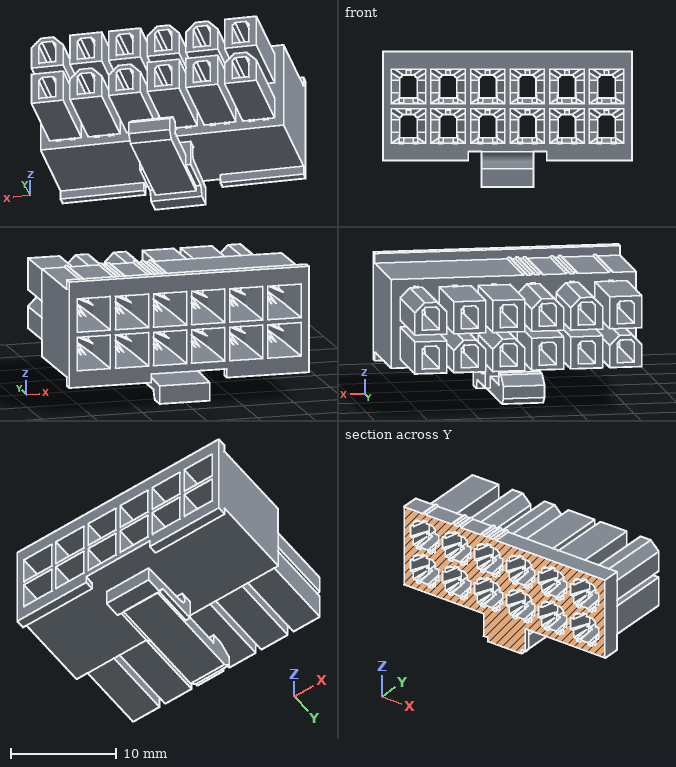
import cadquery as cq


WIDTH = 23.7
LENGTH = 17.6
FLANGE_HEIGHT = 10.38
FLANGE_DEPTH = 0.95
BODY_LENGTH = 9.65
BODY_TOP = 4.26
BODY_BOTTOM = -4.34
NOTCH_WIDTH = 7.46

PITCH = 3.77
COLUMNS = 6
ROW_OFFSET = -0.02
COLUMN_X = [(i - (COLUMNS - 1) / 2) * PITCH for i in range(COLUMNS)]
ROW_Z = [ROW_OFFSET + PITCH / 2, ROW_OFFSET - PITCH / 2]

TOWER_SIZE = 3.1
TOWER_CHAMFER = 0.95
TOWER_KEYS = ["SDDSSD", "DSSDDS"]

MOUTH = 3.27
PASSAGE_WIDTH = 1.63
PASSAGE_HEIGHT = 2.18
PASSAGE_CHAMFER = 0.3
FUNNEL_LENGTH = 3.5
FUNNEL_START = BODY_LENGTH - FUNNEL_LENGTH
WEB_LENGTH = 4.43
SIDE_RELIEF_HEIGHT = 1.2
SIDE_RELIEF_LENGTH = 1.87
KEYWAY_WIDTH = 0.43
FLOOR_KEYWAY_X = 0.69
FLOOR_KEYWAY_HEIGHT = 0.78

RIB_RADIUS = 0.17
RIB_SPACING = 0.75
NUMBERED_COLUMNS = 3

LEVER_WIDTH = 4.95
ARM_WIDTH = 3.98
LEVER_BACK_Y = 8.27
LEVER_FRONT_Y = 1.56
LEVER_UNDERSIDE = -6.8
LEVER_PAD_TOP = -5.95
LEVER_PAD_BOTTOM = -7.72
PAD_STEP_Y = 3.84
PAD_BACK_Y = 3.36
SLOT_TOP_Y = 7.01
SLOT_END_Y = 7.45
SLOT_END_Z = -4.95
SLOT_FLOOR_Y = 6.78
ARM_TOP = -5.69
ARM_BOTTOM = -7.23
HOOK_FRONT_Y = 12.8
HOOK_PEAK_Y = 13.9
HOOK_TIP_Y = 15.3
HOOK_HEEL_Y = 14.52
HOOK_TOP = -4.5
HOOK_TIP_TOP = -5.38
HOOK_TIP_BOTTOM = -6.56


def box(x_range, y_range, z_range):
    """Axis-aligned block between the given limits."""
    (x0, x1), (y0, y1), (z0, z1) = x_range, y_range, z_range
    return cq.Workplane("XY").box(x1 - x0, y1 - y0, z1 - z0, centered=False).translate((x0, y0, z0))


def section(y):
    """Sketch plane at depth y with local axes X and Z; negative lengths extrude towards +Y."""
    return cq.Workplane(cq.Plane(origin=(0, y, 0), xDir=(1, 0, 0), normal=(0, -1, 0)))


def bar(width, height, chamfer, length, y):
    """Bar along +Y with its two upper edges chamfered when chamfer is above zero."""
    solid = section(y).rect(width, height).extrude(-length)
    if chamfer > 0:
        solid = solid.edges("|Y and >Z").chamfer(chamfer)
    return solid


def loft_back(y0, size0, y1, size1):
    """Straight-sided loft between two centred rectangles (width, height)."""
    return section(y0).rect(*size0).workplane(offset=y0 - y1).rect(*size1).loft(ruled=True)


def corner_web(side):
    """Sloped web that fills an upper funnel corner; side is -1 or +1 along X."""
    half = MOUTH / 2
    leg = (MOUTH - PASSAGE_WIDTH) / 2 + (MOUTH - PASSAGE_HEIGHT) / 2 + PASSAGE_CHAMFER
    corner = cq.Vector(side * half, BODY_LENGTH, half)
    along_x = cq.Vector(side * (half - leg), BODY_LENGTH, half)
    along_z = cq.Vector(side * half, BODY_LENGTH, half - leg)
    apex = cq.Vector(side * half, BODY_LENGTH - WEB_LENGTH, half)
    triangles = [
        (corner, along_x, along_z),
        (corner, along_x, apex),
        (corner, along_z, apex),
        (along_x, along_z, apex),
    ]
    faces = [cq.Face.makeFromWires(cq.Wire.makePolygon(list(t), close=True)) for t in triangles]
    return cq.Workplane(cq.Solid.makeSolid(cq.Shell.makeShell(faces)))


def make_cavity():
    """Cutting body of one contact cavity, centred on X = 0 and Z = 0."""
    half = MOUTH / 2
    relief_start = BODY_LENGTH - SIDE_RELIEF_LENGTH
    cavity = section(0).rect(MOUTH, MOUTH).extrude(-FUNNEL_START)
    cavity = cavity.union(
        loft_back(FUNNEL_START, (MOUTH, MOUTH), BODY_LENGTH, (PASSAGE_WIDTH, PASSAGE_HEIGHT))
    )

    cavity = cavity.union(
        box((-half, half), (FUNNEL_START, relief_start), (-SIDE_RELIEF_HEIGHT / 2, SIDE_RELIEF_HEIGHT / 2))
    )
    cavity = cavity.union(
        loft_back(
            relief_start,
            (MOUTH, SIDE_RELIEF_HEIGHT),
            BODY_LENGTH,
            (PASSAGE_WIDTH, SIDE_RELIEF_HEIGHT),
        )
    )

    for side in (-1, 1):
        cavity = cavity.cut(corner_web(side))

    keyway_depth = (FUNNEL_START, BODY_LENGTH)
    keyways = [(0, (0, half))]
    for side in (-1, 1):
        keyways.append((side * FLOOR_KEYWAY_X, (-half, FLOOR_KEYWAY_HEIGHT - half)))
    for x, z_range in keyways:
        cavity = cavity.union(box((x - KEYWAY_WIDTH / 2, x + KEYWAY_WIDTH / 2), keyway_depth, z_range))

    passage = bar(PASSAGE_WIDTH, PASSAGE_HEIGHT, PASSAGE_CHAMFER, LENGTH - BODY_LENGTH, BODY_LENGTH)
    return cavity.union(passage)


def make_housing():
    """Front flange with its latch notch, and the plain body behind it."""
    half = WIDTH / 2
    flange = section(0).rect(WIDTH, FLANGE_HEIGHT).extrude(-FLANGE_DEPTH)
    notch = box(
        (-NOTCH_WIDTH / 2, NOTCH_WIDTH / 2), (0, FLANGE_DEPTH), (-FLANGE_HEIGHT / 2, BODY_BOTTOM)
    )
    body = box((-half, half), (0, BODY_LENGTH), (BODY_BOTTOM, BODY_TOP))
    return flange.cut(notch).union(body)


def make_column_ribs():
    """Half-round ribs: one over the first column, two over the second, and so on."""
    ribs = section(FLANGE_DEPTH)
    for column in range(NUMBERED_COLUMNS):
        for i in range(column + 1):
            x = COLUMN_X[column] + (i - column / 2) * RIB_SPACING
            ribs = ribs.moveTo(x, BODY_TOP).circle(RIB_RADIUS)
    return ribs.extrude(FLANGE_DEPTH - BODY_LENGTH)


def side_profile(width):
    """YZ sketch plane from which extruding by width gives a part centred on X = 0."""
    return cq.Workplane("YZ", origin=(-width / 2, 0, 0))


def make_lever():
    """Wide press lever hanging from the body on a short post with a round-ended slot."""
    return (
        side_profile(LEVER_WIDTH)
        .moveTo(LEVER_BACK_Y, BODY_BOTTOM)
        .lineTo(SLOT_TOP_Y, BODY_BOTTOM)
        .threePointArc((SLOT_END_Y, SLOT_END_Z), (SLOT_FLOOR_Y, ARM_TOP))
        .lineTo(LEVER_FRONT_Y, LEVER_PAD_TOP)
        .lineTo(LEVER_FRONT_Y, LEVER_PAD_BOTTOM)
        .lineTo(PAD_BACK_Y, LEVER_PAD_BOTTOM)
        .lineTo(PAD_STEP_Y, LEVER_UNDERSIDE)
        .lineTo(LEVER_BACK_Y, LEVER_UNDERSIDE)
        .close()
        .extrude(LEVER_WIDTH)
    )


def make_latch_arm():
    """Narrower arm from the lever pad to the hook behind the body."""
    pad_slope = (PAD_STEP_Y - PAD_BACK_Y) / (LEVER_UNDERSIDE - LEVER_PAD_BOTTOM)
    arm_front_y = PAD_BACK_Y + pad_slope * (ARM_BOTTOM - LEVER_PAD_BOTTOM)
    outline = [
        (arm_front_y, ARM_BOTTOM),
        (PAD_STEP_Y, LEVER_UNDERSIDE),
        (LEVER_BACK_Y, ARM_TOP),
        (HOOK_FRONT_Y, ARM_TOP),
        (HOOK_FRONT_Y, HOOK_TOP),
        (HOOK_PEAK_Y, HOOK_TOP),
        (HOOK_TIP_Y, HOOK_TIP_TOP),
        (HOOK_TIP_Y, HOOK_TIP_BOTTOM),
        (HOOK_HEEL_Y, ARM_BOTTOM),
    ]
    return side_profile(ARM_WIDTH).polyline(outline).close().extrude(ARM_WIDTH)


housing = make_housing().union(make_column_ribs()).union(make_lever()).union(make_latch_arm())
cavity = make_cavity()

for z, keys in zip(ROW_Z, TOWER_KEYS):
    for x, key in zip(COLUMN_X, keys):
        chamfer = TOWER_CHAMFER if key == "D" else 0
        tower = bar(TOWER_SIZE, TOWER_SIZE, chamfer, LENGTH - BODY_LENGTH, BODY_LENGTH)
        housing = housing.union(tower.translate((x, 0, z)))

for z in ROW_Z:
    for x in COLUMN_X:
        housing = housing.cut(cavity.translate((x, 0, z)))

result = housing